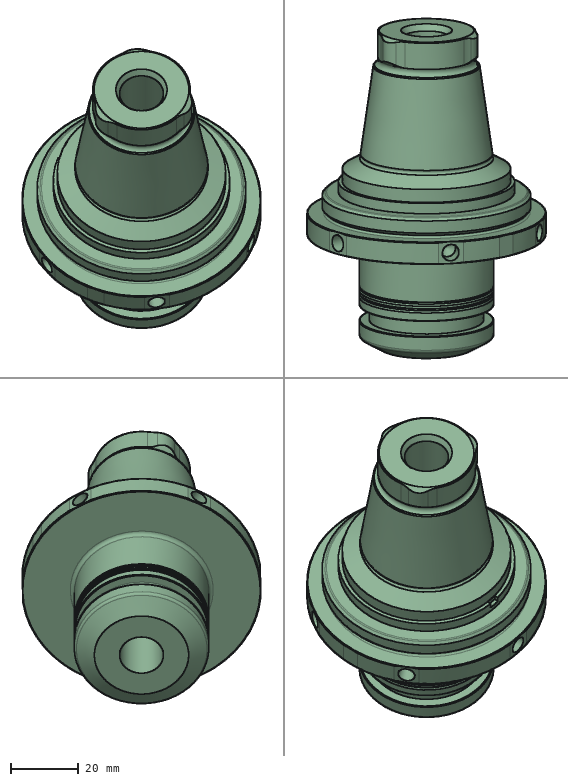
import cadquery as cq
import math

TOTAL_HEIGHT = 97.0
BORE_DIAMETER = 13.0
BORE_MOUTH_DIAMETER = 15.2
BORE_MOUTH_HALF_ANGLE = 30.0

SHANK_RADIUS = 20.0
TIP_RADIUS = 14.0
TIP_SLOPE = 30.0
TIP_ROUNDING = 1.2
RETENTION_RADIUS = 17.0
RETENTION_BOTTOM = 8.3
RETENTION_TOP = 12.9
RETENTION_FILLET = 0.5
EDGE_CHAMFER = 0.25
RING_GROOVE_BOTTOMS = (15.5, 17.55)
RING_GROOVE_HEIGHT = 1.2
RING_GROOVE_DEPTH = 0.35

FLANGE_RADIUS = 35.5
FLANGE_BOTTOM = 34.4
FLANGE_TOP = 41.2
NECK_FILLET = 1.2
HOLE_COUNT = 6
HOLE_DIAMETER = 5.0
HOLE_DEPTH = 5.0
HOLE_TIP_ANGLE = 118.0
HOLE_FLAT_DISTANCE = 70.6 / 2
PLAIN_FLAT_DISTANCE = 70.8 / 2
PLAIN_FLAT_ANGLES = (90, 270)

UNDERCUT_RADIUS = 60.1 / 2
UNDERCUT_TOP = 41.9
UNDERCUT_FILLET = 0.6
RING_RADIUS = 31.0
RING_CHAMFER = 1.0
RING_TOP = 47.55
RING_ROUNDING = 0.5
COLLAR_RADIUS = 52.4 / 2
COLLAR_TOP = 50.7
HUB_RADIUS = 25.0
HUB_TOP = 54.7
HUB_SLOPE = 30.0
NOTCH_WIDTH = 3.3
NOTCH_DEPTH = 1.6
NOTCH_WALL_DISTANCE = 24.9

TAPER_ANGLE = 8.0
TAPER_TOP_RADIUS = 15.85
TAPER_TOP = 86.1
TAPER_BOTTOM = 59.1
LOWER_GROOVE_RADIUS = 19.1
LOWER_GROOVE_BOTTOM = 57.7
UPPER_GROOVE_RADIUS = 14.2
UPPER_GROOVE_FLOOR = 87.9
UPPER_GROOVE_BOTTOM = 86.5
TAPER_EDGE_WIDTH = 0.35

NUT_RADIUS = 14.5
NUT_BOTTOM = 88.75
NUT_FACE_RADIUS = 14.07
NUT_TOP_SLOPE = 30.0
LOBE_COUNT = 3
LOBE_REACH = 15.75
LOBE_RADIUS = 5.0
LOBE_BLEND_ANGLE = 22.0
LOBE_CLEARANCE = 1.0


def slope_rise(run, angle):
    """Height gained over a radial run at an angle to the horizontal."""
    return run * math.tan(math.radians(angle))


def tip_points():
    """Start and end of the rounding between the conical tip and the shank."""
    corner_z = slope_rise(SHANK_RADIUS - TIP_RADIUS, TIP_SLOPE)
    tangent_length = TIP_ROUNDING * math.tan(math.radians((90 - TIP_SLOPE) / 2))
    start = (
        SHANK_RADIUS - tangent_length * math.cos(math.radians(TIP_SLOPE)),
        corner_z - tangent_length * math.sin(math.radians(TIP_SLOPE)),
    )
    return start, (SHANK_RADIUS, corner_z + tangent_length)


def add_shank(outline):
    """Conical tip, retention groove, ring grooves and neck fillet."""
    tip_start, tip_end = tip_points()
    chamfered_radius = SHANK_RADIUS - EDGE_CHAMFER
    outline = (
        outline.lineTo(TIP_RADIUS, 0)
        .lineTo(*tip_start)
        .tangentArcPoint(tip_end, relative=False)
        .lineTo(SHANK_RADIUS, RETENTION_BOTTOM - EDGE_CHAMFER)
        .lineTo(chamfered_radius, RETENTION_BOTTOM)
        .lineTo(RETENTION_RADIUS, RETENTION_BOTTOM)
        .lineTo(RETENTION_RADIUS, RETENTION_TOP - RETENTION_FILLET)
        .tangentArcPoint((RETENTION_RADIUS + RETENTION_FILLET, RETENTION_TOP), relative=False)
        .lineTo(chamfered_radius, RETENTION_TOP)
        .lineTo(SHANK_RADIUS, RETENTION_TOP + EDGE_CHAMFER)
    )
    groove_radius = SHANK_RADIUS - RING_GROOVE_DEPTH
    for bottom in RING_GROOVE_BOTTOMS:
        top = bottom + RING_GROOVE_HEIGHT
        outline = (
            outline.lineTo(SHANK_RADIUS, bottom)
            .lineTo(groove_radius, bottom + RING_GROOVE_HEIGHT / 2)
            .lineTo(groove_radius, top)
            .lineTo(SHANK_RADIUS, top)
        )
    return outline.lineTo(SHANK_RADIUS, FLANGE_BOTTOM - NECK_FILLET).tangentArcPoint(
        (SHANK_RADIUS + NECK_FILLET, FLANGE_BOTTOM), relative=False
    )


def add_flange_and_collar(outline):
    """Flange, undercut, chamfered ring, collar and conical hub."""
    hub_cone_radius = HUB_RADIUS - (LOWER_GROOVE_BOTTOM - HUB_TOP) / slope_rise(1, HUB_SLOPE)
    ring_chamfer_bottom = UNDERCUT_TOP + RING_RADIUS - UNDERCUT_RADIUS
    ring_top_radius = RING_RADIUS - RING_CHAMFER
    rounding_step = RING_ROUNDING / 2 * math.cos(math.radians(45))
    return (
        outline.lineTo(FLANGE_RADIUS - EDGE_CHAMFER, FLANGE_BOTTOM)
        .lineTo(FLANGE_RADIUS, FLANGE_BOTTOM + EDGE_CHAMFER)
        .lineTo(FLANGE_RADIUS, FLANGE_TOP - EDGE_CHAMFER)
        .lineTo(FLANGE_RADIUS - EDGE_CHAMFER, FLANGE_TOP)
        .lineTo(UNDERCUT_RADIUS + UNDERCUT_FILLET, FLANGE_TOP)
        .tangentArcPoint((UNDERCUT_RADIUS, FLANGE_TOP + UNDERCUT_FILLET), relative=False)
        .lineTo(UNDERCUT_RADIUS, UNDERCUT_TOP)
        .lineTo(RING_RADIUS, ring_chamfer_bottom)
        .lineTo(RING_RADIUS, RING_TOP - RING_CHAMFER)
        .lineTo(ring_top_radius + rounding_step, RING_TOP - rounding_step)
        .tangentArcPoint((ring_top_radius - RING_ROUNDING / 2, RING_TOP), relative=False)
        .lineTo(COLLAR_RADIUS, RING_TOP)
        .lineTo(COLLAR_RADIUS, COLLAR_TOP)
        .lineTo(HUB_RADIUS, COLLAR_TOP)
        .lineTo(HUB_RADIUS, HUB_TOP)
        .lineTo(hub_cone_radius, LOWER_GROOVE_BOTTOM)
    )


def add_taper(outline):
    """Small groove under the taper, the taper itself and the groove below the nut."""
    taper_run = (TAPER_TOP - TAPER_BOTTOM) * math.tan(math.radians(TAPER_ANGLE))
    taper_bottom_radius = TAPER_TOP_RADIUS + taper_run
    groove_middle = (LOWER_GROOVE_BOTTOM + TAPER_BOTTOM) / 2
    return (
        outline.threePointArc((LOWER_GROOVE_RADIUS, groove_middle), (taper_bottom_radius, TAPER_BOTTOM))
        .lineTo(TAPER_TOP_RADIUS, TAPER_TOP)
        .lineTo(TAPER_TOP_RADIUS - TAPER_EDGE_WIDTH, UPPER_GROOVE_BOTTOM)
        .threePointArc((UPPER_GROOVE_RADIUS, UPPER_GROOVE_FLOOR), (NUT_RADIUS, NUT_BOTTOM))
    )


def make_body():
    """Everything below the nut, revolved about Z."""
    outline = cq.Workplane("XZ").moveTo(0, 0)
    outline = add_shank(outline)
    outline = add_flange_and_collar(outline)
    outline = add_taper(outline)
    return outline.lineTo(0, NUT_BOTTOM).close().revolve(360, (0, 0, 0), (0, 1, 0))


def polar(radius, angle):
    """Point at a radius and an angle in degrees."""
    return (radius * math.cos(math.radians(angle)), radius * math.sin(math.radians(angle)))


def make_lobe():
    """One lobe on +X: a convex crown blended into the nut by two hollow arcs."""
    crown_center = LOBE_REACH - LOBE_RADIUS
    radius_gap = NUT_RADIUS - LOBE_RADIUS
    blend_center_distance = (radius_gap**2 - crown_center**2) / (
        2 * (radius_gap - crown_center * math.cos(math.radians(LOBE_BLEND_ANGLE)))
    )
    blend_x, blend_y = polar(blend_center_distance, LOBE_BLEND_ANGLE)
    crown_angle = math.degrees(math.atan2(blend_y, blend_x - crown_center))
    crown_dx, crown_y = polar(LOBE_RADIUS, crown_angle)
    crown_x = crown_center + crown_dx
    foot_x, foot_y = polar(NUT_RADIUS, LOBE_BLEND_ANGLE)

    blend_radius = blend_center_distance - NUT_RADIUS
    middle_dx, middle_dy = polar(blend_radius, (LOBE_BLEND_ANGLE + crown_angle) / 2)
    middle_x = blend_x - middle_dx
    middle_y = blend_y - middle_dy
    return (
        cq.Workplane("XY", origin=(0, 0, NUT_BOTTOM))
        .lineTo(foot_x, -foot_y)
        .threePointArc((middle_x, -middle_y), (crown_x, -crown_y))
        .threePointArc((LOBE_REACH, 0), (crown_x, crown_y))
        .threePointArc((middle_x, middle_y), (foot_x, foot_y))
        .close()
        .extrude(TOTAL_HEIGHT - NUT_BOTTOM)
    )


def make_nut():
    """Lobed nut bounded by a shallow cone above and a 45 degree cone below."""
    nut = cq.Workplane("XY", origin=(0, 0, NUT_BOTTOM)).circle(NUT_RADIUS).extrude(TOTAL_HEIGHT - NUT_BOTTOM)
    lobe = make_lobe()
    for index in range(LOBE_COUNT):
        nut = nut.union(lobe.rotate((0, 0, 0), (0, 0, 1), index * 360 / LOBE_COUNT))
    bound_radius = LOBE_REACH + LOBE_CLEARANCE
    top_drop = slope_rise(bound_radius - NUT_FACE_RADIUS, NUT_TOP_SLOPE)
    bounds = (
        cq.Workplane("XZ")
        .moveTo(0, NUT_BOTTOM)
        .lineTo(NUT_RADIUS, NUT_BOTTOM)
        .lineTo(bound_radius, NUT_BOTTOM + bound_radius - NUT_RADIUS)
        .lineTo(bound_radius, TOTAL_HEIGHT - top_drop)
        .lineTo(NUT_FACE_RADIUS, TOTAL_HEIGHT)
        .lineTo(0, TOTAL_HEIGHT)
        .close()
        .revolve(360, (0, 0, 0), (0, 1, 0))
    )
    return nut.intersect(bounds)


def make_bore():
    """Through bore with a conical mouth at the top."""
    radius = BORE_DIAMETER / 2
    mouth_radius = BORE_MOUTH_DIAMETER / 2
    mouth_depth = (mouth_radius - radius) / math.tan(math.radians(BORE_MOUTH_HALF_ANGLE))
    return (
        cq.Workplane("XZ")
        .lineTo(radius, 0)
        .lineTo(radius, TOTAL_HEIGHT - mouth_depth)
        .lineTo(mouth_radius, TOTAL_HEIGHT)
        .lineTo(0, TOTAL_HEIGHT)
        .close()
        .revolve(360, (0, 0, 0), (0, 1, 0))
    )


def make_flat(distance):
    """Block that leaves a flat on the +X side of the flange at a distance from the axis."""
    return cq.Workplane("XY", origin=(distance, 0, FLANGE_BOTTOM)).box(
        FLANGE_RADIUS, 2 * FLANGE_RADIUS, FLANGE_TOP - FLANGE_BOTTOM, centered=(False, True, False)
    )


def make_radial_hole():
    """Drilled blind hole entering the flange along -X."""
    radius = HOLE_DIAMETER / 2
    floor_x = HOLE_FLAT_DISTANCE - HOLE_DEPTH
    tip_length = radius / math.tan(math.radians(HOLE_TIP_ANGLE / 2))
    middle_z = (FLANGE_BOTTOM + FLANGE_TOP) / 2
    return (
        cq.Workplane("XZ", origin=(0, 0, middle_z))
        .moveTo(floor_x - tip_length, 0)
        .lineTo(floor_x, radius)
        .lineTo(FLANGE_RADIUS, radius)
        .lineTo(FLANGE_RADIUS, 0)
        .close()
        .revolve(360, (0, 0, 0), (1, 0, 0))
    )


def cut_flange_details(body):
    """Six flats with radial holes, and two plain flats on the Y axis."""
    drilled_flat = make_flat(HOLE_FLAT_DISTANCE).union(make_radial_hole())
    for index in range(HOLE_COUNT):
        body = body.cut(drilled_flat.rotate((0, 0, 0), (0, 0, 1), index * 360 / HOLE_COUNT))
    for angle in PLAIN_FLAT_ANGLES:
        body = body.cut(make_flat(PLAIN_FLAT_DISTANCE).rotate((0, 0, 0), (0, 0, 1), angle))
    return body


def make_notch():
    """Small notch in the collar rim on the -X side, with a flat inner wall just inside the hub."""
    return cq.Workplane("XY", origin=(-COLLAR_RADIUS, 0, COLLAR_TOP - NOTCH_DEPTH)).box(
        COLLAR_RADIUS - NOTCH_WALL_DISTANCE, NOTCH_WIDTH, NOTCH_DEPTH, centered=(False, True, False)
    )


body = make_body().union(make_nut())
body = cut_flange_details(body)
result = body.cut(make_notch()).cut(make_bore())